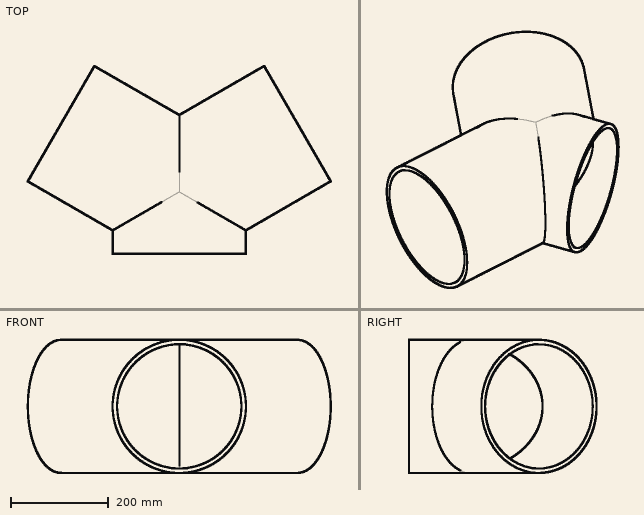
import cadquery as cq
import math

overall_width = 620.5
overall_depth = 384.5
outer_diameter = 273.0
bore_diameter = 254.5
arm_angle = 30.0

outer_radius = outer_diameter / 2
tilt_cos = math.cos(math.radians(arm_angle))
tilt_sin = math.sin(math.radians(arm_angle))
arm_length = (overall_width / 2 - outer_radius * tilt_sin) / tilt_cos
arm_reach_y = arm_length * tilt_sin + outer_radius * tilt_cos
leg_length = overall_depth - arm_reach_y

branches = [
    (arm_angle, arm_length),
    (180 - arm_angle, arm_length),
    (270, leg_length),
]


def branched_cylinders(diameter):
    """Union of one cylinder per branch, all starting at the common centre."""
    body = cq.Workplane("XY")
    for angle, length in branches:
        cylinder = cq.Workplane("YZ").circle(diameter / 2).extrude(length)
        body = body.union(cylinder.rotate((0, 0, 0), (0, 0, 1), angle))
    return body


result = branched_cylinders(outer_diameter).cut(branched_cylinders(bore_diameter))